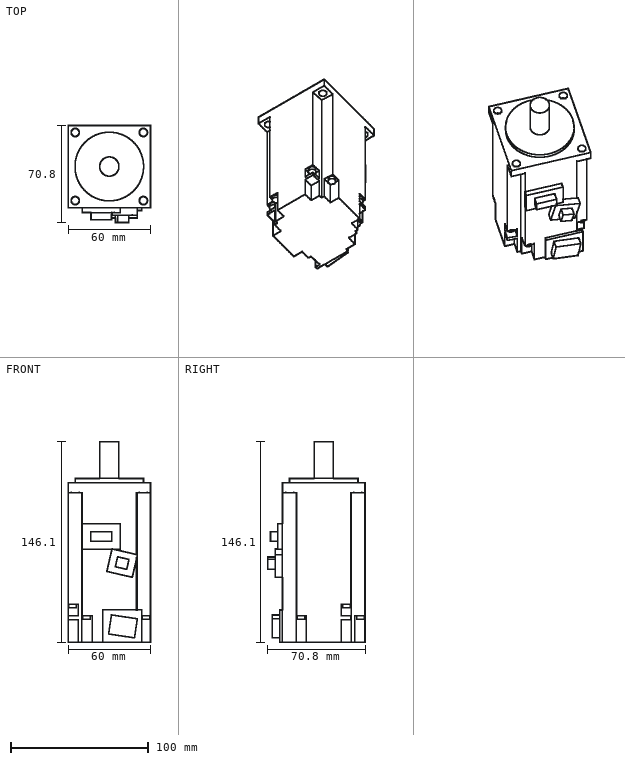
import cadquery as cq

BODY_SIDE = 60.0
HALF_SIDE = BODY_SIDE / 2
TOTAL_HEIGHT = 146.1
SHAFT_DIAMETER = 14.0
SHAFT_LENGTH = 26.9
PILOT_DIAMETER = 50.0
PILOT_HEIGHT = 3.0
FLANGE_THICKNESS = 7.2
PILOT_TOP = TOTAL_HEIGHT - SHAFT_LENGTH
FLANGE_TOP = PILOT_TOP - PILOT_HEIGHT
FLANGE_BOTTOM = FLANGE_TOP - FLANGE_THICKNESS

HOLE_DIAMETER = 5.7
HOLE_SPACING = 49.5

NOTCH_INNER = 20.2
NOTCH_OUTER = 19.6

POCKET_START = 12.5
POCKET_DEPTH = 7.6
RECESS_DEPTH = 7.3
LOW_POCKET_TOP = 19.6
HIGH_POCKET_TOP = 27.9
WEB_THICKNESS = 3.0
SCREW_DIAMETER = 5.5
SCREW_HEAD_HEIGHT = 2.6
SCREW_OFFSET = 16.5
SCREW_REACH = 26.7

ALL_CORNERS = (0, 90, 180, 270)
HIGH_POCKET_CORNERS = (0, 180, 270)

SIGNAL_CENTRE = (-5.8, 77.0)
SIGNAL_PLATE = (27.8, 18.7, 3.5)
SIGNAL_PLUG = (15.2, 7.2, 8.8)
BRAKE_CENTRE = (9.4, 57.7)
BRAKE_TILT = 13
BRAKE_PLATE = (19.0, 16.8, 5.3)
BRAKE_PLUG = (8.5, 7.5, 10.8)
POWER_PLATE = (28.2, 23.7, 2.0)
POWER_PLATE_CENTRE = (9.5, POWER_PLATE[1] / 2)
POWER_PLUG = (19.0, 14.0, 7.5)
POWER_PLUG_CENTRE = (10.0, 11.7)
POWER_TILT = 8.5


def box_between(low, high):
    size = [b - a for a, b in zip(low, high)]
    return cq.Workplane("XY").box(*size, centered=False).translate(low)


def turned(shape, angle):
    return shape.rotate((0, 0, 0), (0, 0, 1), angle)


def corner_notch():
    """Notch running from the rear face up to the flange at the (-X, -Y) corner."""
    return (
        cq.Workplane("XY")
        .moveTo(-NOTCH_INNER, -NOTCH_INNER)
        .lineTo(-NOTCH_OUTER, -HALF_SIDE)
        .lineTo(-HALF_SIDE, -HALF_SIDE)
        .lineTo(-HALF_SIDE, -NOTCH_OUTER)
        .close()
        .extrude(FLANGE_BOTTOM)
    )


def low_pocket():
    """Pocket in the -Y face, open to the notch and to the rear face."""
    return box_between(
        (-NOTCH_INNER, -HALF_SIDE, 0),
        (-POCKET_START, -HALF_SIDE + POCKET_DEPTH, LOW_POCKET_TOP),
    )


def high_pocket():
    """Pocket in the -X face, with a web left across it between recess and slot."""
    start = (-HALF_SIDE, -NOTCH_INNER)
    end = (-HALF_SIDE + RECESS_DEPTH, -POCKET_START)
    recess = box_between((*start, LOW_POCKET_TOP), (*end, HIGH_POCKET_TOP))
    slot = box_between((*start, 0), (*end, LOW_POCKET_TOP - WEB_THICKNESS))
    return recess.union(slot)


def screw_head(x, y, ceiling):
    """Screw head hanging from the ceiling of a pocket."""
    return (
        cq.Workplane("XY", origin=(x, y, ceiling))
        .circle(SCREW_DIAMETER / 2)
        .extrude(-SCREW_HEAD_HEIGHT)
    )


def face_block(centre, size, tilt=0):
    """Block standing on the -Y face, tilted clockwise in the plane of that face."""
    width, height, reach = size
    return (
        cq.Workplane("XZ", origin=(centre[0], -HALF_SIDE, centre[1]))
        .transformed(rotate=(0, 0, -tilt))
        .rect(width, height)
        .extrude(reach)
    )


result = (
    cq.Workplane("XY")
    .rect(BODY_SIDE, BODY_SIDE)
    .extrude(FLANGE_TOP)
    .faces(">Z")
    .workplane()
    .circle(PILOT_DIAMETER / 2)
    .extrude(PILOT_HEIGHT)
    .faces(">Z")
    .workplane()
    .circle(SHAFT_DIAMETER / 2)
    .extrude(SHAFT_LENGTH)
)

for angle in ALL_CORNERS:
    result = result.cut(turned(corner_notch(), angle))
mounting_holes = (
    cq.Workplane("XY", origin=(0, 0, FLANGE_BOTTOM))
    .rect(HOLE_SPACING, HOLE_SPACING, forConstruction=True)
    .vertices()
    .circle(HOLE_DIAMETER / 2)
    .extrude(FLANGE_THICKNESS)
)
result = result.cut(mounting_holes)

for angle in ALL_CORNERS:
    head = screw_head(-SCREW_OFFSET, -SCREW_REACH, LOW_POCKET_TOP)
    result = result.cut(turned(low_pocket(), angle)).union(turned(head, angle))
for angle in HIGH_POCKET_CORNERS:
    head = screw_head(-SCREW_REACH, -SCREW_OFFSET, HIGH_POCKET_TOP)
    result = result.cut(turned(high_pocket(), angle)).union(turned(head, angle))

result = (
    result.union(face_block(SIGNAL_CENTRE, SIGNAL_PLATE))
    .union(face_block(SIGNAL_CENTRE, SIGNAL_PLUG))
    .union(face_block(BRAKE_CENTRE, BRAKE_PLATE, BRAKE_TILT))
    .union(face_block(BRAKE_CENTRE, BRAKE_PLUG, BRAKE_TILT))
    .union(face_block(POWER_PLATE_CENTRE, POWER_PLATE))
    .union(face_block(POWER_PLUG_CENTRE, POWER_PLUG, POWER_TILT))
)